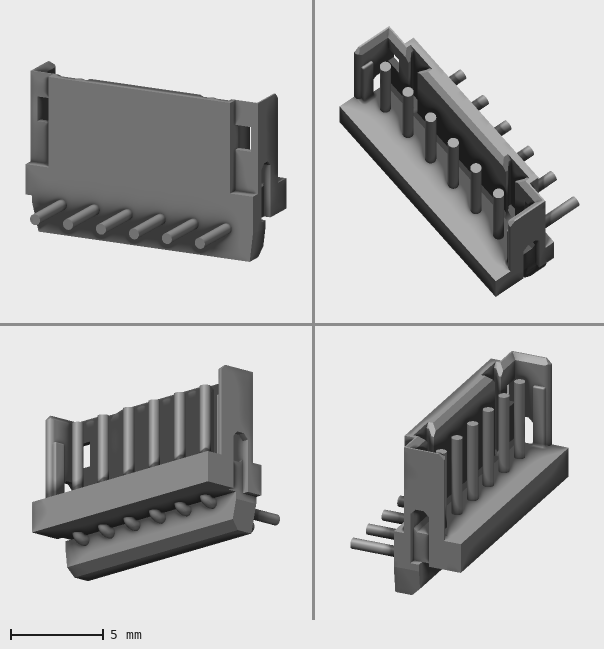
import cadquery as cq

width = 13.8
height = 8.8
depth = 4.0
half_width = width / 2

base_bottom = 1.99
base_top = 3.7
wall_thickness = 0.4
wall_rear = 3.0
plate_rear = 1.0
lead_in = 0.3
wall_rear_radius = 0.3
floor_chamfer = 0.21
inner_half_width = half_width - wall_thickness

recess_width = 1.38
recess_depth = 0.61
window_inset = 0.41
window_bottom = 6.02
window_height = 1.4

tongue_depth = 1.5
tongue_taper_start = 1.59
tongue_chamfer = 0.5
tongue_left_taper = 0.39
tongue_right_taper = 0.2

slot_front = 1.01
slot_rear = 2.1
slot_top = 5.23
slot_top_chamfer = 0.3

keyway_offset = 4.3
keyway_front = 0.41
keyway_straight = 0.15
keyway_half_width = 0.69
neck_half_width = 0.4
keyway_lead_in = 0.26

rib_front = 2.1
rib_length = 0.72
rib_thickness = 0.2
rib_root = 0.14
rib_top = 7.23
rib_edge_radius = 0.1
rib_base_radius = 0.2

pin_count = 6
pin_pitch = 2.0
pin_shift = 0.3
pin_radius = 0.3
pin_bend_radius = 0.41
pin_y = 2.1
pin_axis_z = 1.7
pin_top = 8.18
pin_tail = 3.2


def box(x0, x1, y0, y1, z0, z1):
    """Box between two corners."""
    return cq.Workplane("XY").box(x1 - x0, y1 - y0, z1 - z0, centered=False).translate((x0, y0, z0))


def prism_along_x(points, x0, x1):
    """Extrude a YZ outline from x0 to x1."""
    return cq.Workplane("YZ", origin=(x0, 0, 0)).polyline(points).close().extrude(x1 - x0)


def prism_along_y(points, y0, y1):
    """Extrude an XZ outline from y0 back to y1."""
    return cq.Workplane("XZ", origin=(0, y0, 0)).polyline(points).close().extrude(y0 - y1)


def mirrored(shape):
    """The shape joined with its mirror image across the YZ plane."""
    return shape.union(shape.mirror("YZ"))


def make_wall_roundings():
    """Waste removed to round the inner rear edges of both walls."""
    corner_x = -inner_half_width
    round_start_x = corner_x - wall_rear_radius
    round_end_y = wall_rear - wall_rear_radius
    waste = (
        cq.Workplane("XY", origin=(0, 0, base_top))
        .moveTo(round_start_x, wall_rear)
        .radiusArc((corner_x, round_end_y), wall_rear_radius)
        .lineTo(corner_x, wall_rear)
        .close()
        .extrude(height - base_top)
    )
    return mirrored(waste)


def make_shell():
    """Base block with the plate and side walls, hollow between them."""
    profile = [
        (0, base_bottom),
        (depth, base_bottom),
        (depth, base_top),
        (wall_rear, base_top),
        (wall_rear, height - lead_in),
        (wall_rear - lead_in, height),
        (0, height),
    ]
    shell = prism_along_x(profile, -half_width, half_width)

    flare_z = height - lead_in
    cavity = prism_along_x(
        [
            (plate_rear + floor_chamfer, base_top),
            (depth, base_top),
            (depth, height),
            (plate_rear, height),
            (plate_rear, base_top + floor_chamfer),
        ],
        -inner_half_width,
        inner_half_width,
    )
    flare_half_width = inner_half_width + lead_in
    side_flare = prism_along_y(
        [
            (-inner_half_width, flare_z),
            (inner_half_width, flare_z),
            (flare_half_width, height),
            (-flare_half_width, height),
        ],
        plate_rear - lead_in,
        depth,
    )
    rear_flare = prism_along_x(
        [(plate_rear, flare_z), (depth, flare_z), (depth, height), (plate_rear - lead_in, height)],
        -half_width,
        half_width,
    )
    return shell.cut(make_wall_roundings()).cut(cavity).cut(side_flare.intersect(rear_flare))


def make_tongue():
    """Tapered tongue under the base; its left side is inset by the wall thickness."""
    left = -inner_half_width
    front_outline = [
        (left, base_bottom),
        (left, tongue_taper_start),
        (left + tongue_left_taper, 0),
        (half_width - tongue_right_taper, 0),
        (half_width, tongue_taper_start),
        (half_width, base_bottom),
    ]
    side_outline = [
        (0, 0),
        (tongue_depth - tongue_chamfer, 0),
        (tongue_depth, tongue_chamfer),
        (tongue_depth, base_bottom),
        (0, base_bottom),
    ]
    tongue = prism_along_y(front_outline, 0, tongue_depth)
    return tongue.intersect(prism_along_x(side_outline, left, half_width))


def make_corner_cuts():
    """Stepped front corners and the windows through the plate behind them."""
    inner_x = recess_width - half_width
    recess = box(-half_width, inner_x, 0, recess_depth, base_top, height)
    window_x = window_inset - half_width
    window_top = window_bottom + window_height
    window = box(window_x, inner_x, 0, plate_rear, window_bottom, window_top)
    return mirrored(recess.union(window))


def make_side_slots():
    """Slots up the outside of both walls."""
    outline = [
        (slot_front, base_bottom),
        (slot_rear, base_bottom),
        (slot_rear, slot_top - slot_top_chamfer),
        (slot_rear - slot_top_chamfer, slot_top),
        (slot_front + slot_top_chamfer, slot_top),
        (slot_front, slot_top - slot_top_chamfer),
    ]
    return mirrored(prism_along_x(outline, -half_width, -inner_half_width))


def make_keyways():
    """Dovetail pockets with a round-bottomed neck and a 45 degree entry."""
    shoulder_y = keyway_front + keyway_straight
    neck_y = shoulder_y + keyway_half_width - neck_half_width
    neck_rear = plate_rear + floor_chamfer
    pocket = (
        cq.Workplane("XY", origin=(0, 0, base_top))
        .polyline(
            [
                (-keyway_half_width, keyway_front),
                (keyway_half_width, keyway_front),
                (keyway_half_width, shoulder_y),
                (neck_half_width, neck_y),
                (-neck_half_width, neck_y),
                (-keyway_half_width, shoulder_y),
            ]
        )
        .close()
        .extrude(height - base_top)
    )
    neck_spring_z = base_top + neck_half_width
    neck = (
        cq.Workplane("XZ", origin=(0, neck_y, 0))
        .moveTo(-neck_half_width, height)
        .lineTo(-neck_half_width, neck_spring_z)
        .threePointArc((0, base_top), (neck_half_width, neck_spring_z))
        .lineTo(neck_half_width, height)
        .close()
        .extrude(neck_y - neck_rear)
    )
    entry_half_width = keyway_half_width + keyway_lead_in
    entry_depth = entry_half_width - neck_half_width
    entry = prism_along_y(
        [
            (-entry_half_width, height),
            (-neck_half_width, height - entry_depth),
            (neck_half_width, height - entry_depth),
            (entry_half_width, height),
        ],
        keyway_front,
        plate_rear,
    )
    keyway = pocket.union(neck).union(entry)
    return mirrored(keyway.translate((-keyway_offset, 0, 0)))


def make_ribs():
    """Rounded latch ribs, rooted in the walls, with a filleted foot on the floor."""
    root_x = -inner_half_width - rib_root
    face_x = -inner_half_width + rib_thickness
    rib_rear = rib_front + rib_length
    rib = box(root_x, face_x, rib_front, rib_rear, base_top, rib_top)
    rib = rib.edges("|Z and >X").fillet(rib_edge_radius)
    rib = rib.faces(">Z").edges("not <X").fillet(rib_edge_radius)

    margin = 2 * rib_base_radius
    pad = box(root_x, face_x + margin, rib_front - margin, rib_rear + margin, base_bottom, base_top)
    reach = rib_edge_radius / 2
    foot_edges = cq.selectors.BoxSelector(
        (root_x + reach, rib_front - reach, base_top - reach),
        (face_x + reach, rib_rear + reach, base_top + reach),
    )
    return mirrored(rib.union(pad).edges(foot_edges).fillet(rib_base_radius))


def make_pin(x):
    """Round pin that runs back under the base and bends upward."""
    bend_start_y = pin_y - pin_bend_radius
    bend_end_z = pin_axis_z + pin_bend_radius
    path = (
        cq.Workplane("YZ", origin=(x, 0, 0))
        .moveTo(-pin_tail, pin_axis_z)
        .lineTo(bend_start_y, pin_axis_z)
        .radiusArc((pin_y, bend_end_z), -pin_bend_radius)
        .lineTo(pin_y, pin_top)
    )
    section = cq.Workplane("XZ", origin=(x, -pin_tail, pin_axis_z)).circle(pin_radius)
    return section.sweep(path)


result = make_shell().union(make_tongue()).union(make_ribs())
result = result.cut(make_corner_cuts()).cut(make_side_slots()).cut(make_keyways())
for index in range(pin_count):
    pin_x = pin_shift + pin_pitch * (index - (pin_count - 1) / 2)
    result = result.union(make_pin(pin_x))